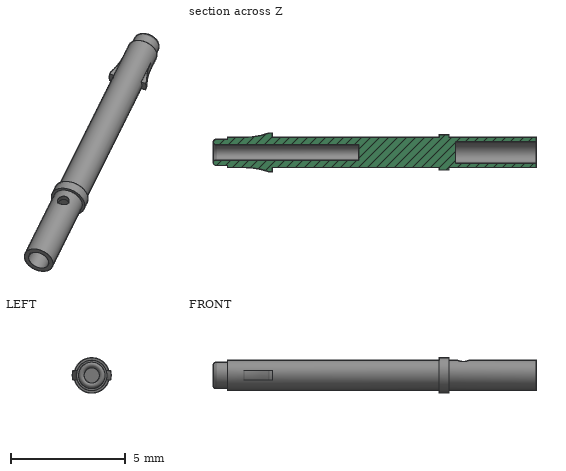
import cadquery as cq
import math

length = 14.09
body_radius = 1.32 / 2

nose_radius = 1.15 / 2
nose_length = 0.62

socket_radius = 0.66 / 2
socket_depth = 6.34
wire_bore_radius = 0.93 / 2
wire_bore_start = 10.57

collar_radius = 1.55 / 2
collar_start = 9.85
collar_width = 0.44

inspection_x = 10.9
inspection_radius = 0.51 / 2

tine_start = 1.34
tine_end = 2.58
tine_land = 0.14
tine_height = 0.41
tine_tip_y = 1.7 / 2
tine_root_y = 0.56


def cylinder(radius, start, depth):
    """Cylinder on the X axis from start, running toward +X."""
    return cq.Workplane("YZ").workplane(offset=start).circle(radius).extrude(depth)


def tine_pair():
    """Flared ring leaving the barrel tangentially, trimmed to a strip on each side."""
    run = tine_end - tine_land - tine_start
    rise = tine_tip_y - body_radius
    arc_radius = (run**2 + rise**2) / (2 * rise)
    half_angle = math.atan2(rise, run)
    arc_middle = (
        tine_start + arc_radius * math.sin(half_angle),
        body_radius + arc_radius * (1 - math.cos(half_angle)),
    )
    flared_ring = (
        cq.Workplane("XY")
        .moveTo(tine_start, tine_root_y)
        .lineTo(tine_start, body_radius)
        .threePointArc(arc_middle, (tine_end - tine_land, tine_tip_y))
        .lineTo(tine_end, tine_tip_y)
        .lineTo(tine_end, tine_root_y)
        .close()
        .revolve(360, (0, 0, 0), (1, 0, 0))
    )
    strip = cq.Workplane("XY").box(length, 2 * tine_tip_y, tine_height).translate((length / 2, 0, 0))
    return flared_ring.intersect(strip)


def hollow_nose():
    """Nose tube whose rim is a half-round from the outer wall to the socket bore."""
    rim_round = (nose_radius - socket_radius) / 2
    return (
        cq.Workplane("XY")
        .moveTo(nose_length, socket_radius)
        .lineTo(rim_round, socket_radius)
        .threePointArc((0, socket_radius + rim_round), (rim_round, nose_radius))
        .lineTo(nose_length, nose_radius)
        .close()
        .revolve(360, (0, 0, 0), (1, 0, 0))
    )


body = cylinder(body_radius, nose_length, length - nose_length)
body = body.union(cylinder(collar_radius, collar_start, collar_width))
body = body.cut(cylinder(socket_radius, nose_length, socket_depth - nose_length))
body = body.cut(cylinder(wire_bore_radius, wire_bore_start, length - wire_bore_start))

inspection_hole = (
    cq.Workplane("XY").center(inspection_x, 0).circle(inspection_radius).extrude(collar_radius)
)
body = body.cut(inspection_hole)

result = hollow_nose().union(body).union(tine_pair())